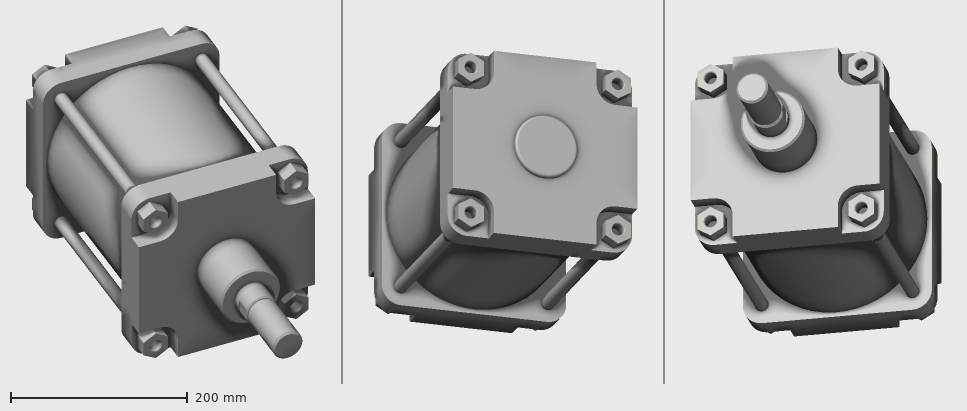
import cadquery as cq
import math

TOTAL_LENGTH = 478.0

CAP_SIDE = 220.0
CORNER_RADIUS = 23.0
FLANGE_THICKNESS = 27.5
REAR_POCKET_DEPTH = 19.0
FRONT_POCKET_DEPTH = 20.0
POCKET_SIDE = 48.8
POCKET_RADIUS = 23.0

BOSS_DIAMETER = 74.5
REAR_BOSS_LENGTH = 6.0
FRONT_BOSS_LENGTH = 64.5
REAR_BOSS_FILLET = 3.5
FRONT_BOSS_CHAMFER = 2.5

BARREL_DIAMETER = 209.5
BARREL_LENGTH = 211.5

TIE_ROD_PITCH = 175.5
TIE_ROD_DIAMETER = 16.0
NUT_ACROSS_FLATS = 30.0
NUT_THICKNESS = 17.0
NUT_BORE_DIAMETER = 14.0
NUT_SIDES = 6

ROD_DIAMETER = 39.5
ROD_FLATS = 37.0
TIP_LENGTH = 71.5
FLATS_LENGTH = 20.0
SHOULDER_CHAMFER = 2.0
THREAD_DIAMETER = 37.0
THREAD_LENGTH = 69.0
THREAD_CHAMFER = 2.5
UNDERCUT_DIAMETER = 34.5

REAR_CAP_X = REAR_BOSS_LENGTH
BARREL_START = REAR_CAP_X + REAR_POCKET_DEPTH + FLANGE_THICKNESS
BARREL_END = BARREL_START + BARREL_LENGTH
FRONT_CAP_END = BARREL_END + FLANGE_THICKNESS + FRONT_POCKET_DEPTH
ROD_SHOULDER = TOTAL_LENGTH - TIP_LENGTH
CORNERS = [(y, z) for y in (-1, 1) for z in (-1, 1)]


def cylinder(x_start, length, diameter):
    """Solid cylinder along +X on the main axis."""
    return cq.Workplane("YZ", origin=(x_start, 0, 0)).circle(diameter / 2).extrude(length)


def cap_block(x_start, thickness, pocket_x, pocket_depth):
    """Square cap with rounded flange corners, corner nut pockets and tie rod holes."""
    block = cq.Workplane("YZ", origin=(x_start, 0, 0)).rect(CAP_SIDE, CAP_SIDE).extrude(thickness)
    block = block.edges("|X").fillet(CORNER_RADIUS)
    cutter_width = 2 * POCKET_SIDE
    pockets = (
        cq.Workplane("YZ", origin=(pocket_x, 0, 0))
        .rect(CAP_SIDE, CAP_SIDE, forConstruction=True)
        .vertices()
        .rect(cutter_width, cutter_width)
        .extrude(pocket_depth)
        .edges("|X")
        .fillet(POCKET_RADIUS)
    )
    rod_holes = (
        cq.Workplane("YZ", origin=(x_start, 0, 0))
        .rect(TIE_ROD_PITCH, TIE_ROD_PITCH, forConstruction=True)
        .vertices()
        .circle(TIE_ROD_DIAMETER / 2)
        .extrude(thickness)
    )
    return block.cut(pockets).cut(rod_holes)


def make_rear_cap():
    """Closed cap with a short rounded boss."""
    block = cap_block(REAR_CAP_X, BARREL_START - REAR_CAP_X, REAR_CAP_X, REAR_POCKET_DEPTH)
    boss = cylinder(0, REAR_BOSS_LENGTH, BOSS_DIAMETER).faces("<X").edges().fillet(REAR_BOSS_FILLET)
    return block.union(boss)


def make_front_cap():
    """Cap with a long chamfered boss, bored through for the piston rod."""
    thickness = FRONT_CAP_END - BARREL_END
    block = cap_block(BARREL_END, thickness, BARREL_END + FLANGE_THICKNESS, FRONT_POCKET_DEPTH)
    boss = cylinder(FRONT_CAP_END, FRONT_BOSS_LENGTH, BOSS_DIAMETER).faces(">X").chamfer(FRONT_BOSS_CHAMFER)
    bore = cylinder(BARREL_END, thickness + FRONT_BOSS_LENGTH, ROD_DIAMETER)
    return block.union(boss).cut(bore)


def make_barrel():
    """Plain round barrel clamped between the caps."""
    return cylinder(BARREL_START, BARREL_LENGTH, BARREL_DIAMETER)


def make_tie_rod(side_y, side_z):
    """Tie rod in one corner, with a hexagon nut bored down to the rod at each end."""
    y = side_y * TIE_ROD_PITCH / 2
    z = side_z * TIE_ROD_PITCH / 2
    rear_seat = REAR_CAP_X + REAR_POCKET_DEPTH
    front_seat = BARREL_END + FLANGE_THICKNESS
    rod = (
        cq.Workplane("YZ", origin=(rear_seat, y, z))
        .circle(TIE_ROD_DIAMETER / 2)
        .extrude(front_seat - rear_seat)
    )
    across_corners = NUT_ACROSS_FLATS / math.cos(math.pi / NUT_SIDES)
    countersink_depth = (TIE_ROD_DIAMETER - NUT_BORE_DIAMETER) / 2
    for seat, thickness in ((rear_seat, -NUT_THICKNESS), (front_seat, NUT_THICKNESS)):
        nut = (
            cq.Workplane("YZ", origin=(seat, y, z))
            .transformed(rotate=(0, 0, 90))
            .polygon(NUT_SIDES, across_corners)
            .extrude(thickness)
        )
        bore = (
            cq.Workplane("YZ", origin=(seat, y, z))
            .circle(NUT_BORE_DIAMETER / 2)
            .extrude(thickness)
        )
        countersink = (
            cq.Workplane("YZ", origin=(seat + thickness, y, z))
            .circle(TIE_ROD_DIAMETER / 2)
            .workplane(offset=math.copysign(countersink_depth, -thickness))
            .circle(NUT_BORE_DIAMETER / 2)
            .loft()
        )
        rod = rod.union(nut.cut(bore).cut(countersink))
    return rod


def make_piston_rod():
    """Rod with two wrench flats, a chamfered shoulder, an undercut and a chamfered thread end."""
    thread_start = TOTAL_LENGTH - THREAD_LENGTH
    rod = cylinder(BARREL_END, ROD_SHOULDER - BARREL_END, ROD_DIAMETER)
    rod = rod.faces(">X").chamfer(SHOULDER_CHAMFER)
    flat_cutter = (
        cq.Workplane("YZ", origin=(ROD_SHOULDER - FLATS_LENGTH, 0, 0))
        .rect(2 * ROD_DIAMETER, 2 * ROD_DIAMETER)
        .rect(ROD_FLATS, 2 * ROD_DIAMETER)
        .extrude(FLATS_LENGTH)
    )
    undercut = cylinder(ROD_SHOULDER, thread_start - ROD_SHOULDER, UNDERCUT_DIAMETER)
    thread = cylinder(thread_start, THREAD_LENGTH, THREAD_DIAMETER).faces(">X").chamfer(THREAD_CHAMFER)
    return rod.cut(flat_cutter).union(undercut).union(thread)


rear_cap = make_rear_cap()
front_cap = make_front_cap()
barrel = make_barrel()
piston_rod = make_piston_rod()
tie_rods = [make_tie_rod(side_y, side_z) for side_y, side_z in CORNERS]

result = cq.Compound.makeCompound([
    rear_cap.val(),
    front_cap.val(),
    barrel.val(),
    piston_rod.val(),
    *[tie_rod.val() for tie_rod in tie_rods],
])